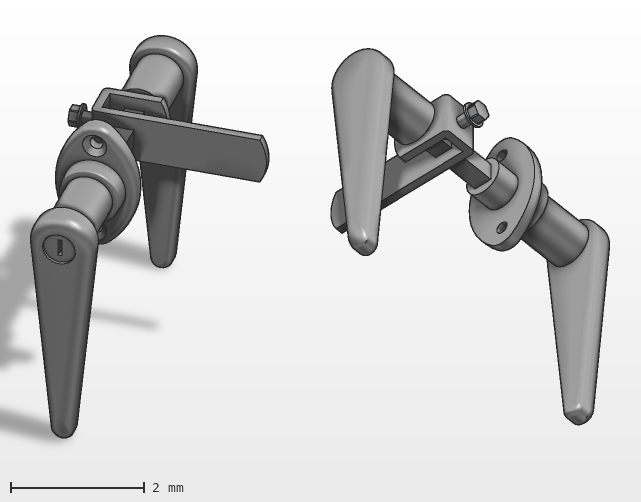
import cadquery as cq
import math

OVERALL_LENGTH = 5.42

LEVER_THICKNESS = 0.46
LEVER_HEAD_RADIUS = 1.0 / 2
LEVER_TIP_RADIUS = 0.34 / 2
LEVER_BOTTOM = -3.495
LEVER_OUTER_ROUND = 0.2
LEVER_INNER_ROUND = LEVER_OUTER_ROUND / 2
HANDLE_DEPTH = 1.46
SLEEVE_DIAMETER = 0.755

KEY_RECESS_DIAMETER = 0.51
KEY_RECESS_DEPTH = 0.05
KEYWAY_WIDTH = 0.065
KEYWAY_HEIGHT = 0.27
KEYWAY_DEPTH = 0.11

COLLAR_LENGTH = 0.3
COLLAR_FRONT_DIAMETER = 0.94
COLLAR_REAR_DIAMETER = 0.975
COLLAR_ROUND = 0.05
PLATE_THICKNESS = 0.245
PLATE_HALF_WIDTH = 0.65
PLATE_HALF_HEIGHT = 1.06
PLATE_ROUND = 0.125
SCREW_HOLE_OFFSET = 0.75
SCREW_HOLE_DIAMETER = 0.2
COUNTERSINK_DIAMETER = 0.38
COUNTERSINK_ANGLE = 90
BUSH_DIAMETER = 0.645
BUSH_LENGTH = 0.435

SPINDLE_SIDE = 0.315

CAM_FRONT = 3.19
CAM_DEPTH = 0.66
CAM_THICKNESS = 0.135
CAM_HEIGHT = SLEEVE_DIAMETER
CAM_BACK_X = -0.52
CAM_LONG_X = 2.24
CAM_SHORT_X = 0.515
CAM_END_RISE = 0.105
CAM_BEND_RADIUS = 0.085

SHANK_DIAMETER = 0.2
HEAD_END_X = -0.93
HEAD_HEIGHT = 0.15
HEAD_SIDES = 6
HEAD_ACROSS_FLATS = 0.29
HEAD_CORNER_DIAMETER = 0.325
WASHER_THICKNESS = 0.03
WASHER_DIAMETER = 0.405

COLLAR_REAR = HANDLE_DEPTH + COLLAR_LENGTH
PLATE_REAR = COLLAR_REAR + PLATE_THICKNESS
BUSH_REAR = PLATE_REAR + BUSH_LENGTH
INSIDE_SLEEVE_FRONT = OVERALL_LENGTH - HANDLE_DEPTH
SCREW_Y = CAM_FRONT + CAM_DEPTH / 2


def slab(outline, start, end):
    """Extrude an XZ outline along Y from start to end."""
    return outline.extrude(start - end).translate((0, start, 0))


def cylinder(diameter, start, end):
    return slab(cq.Workplane("XZ").circle(diameter / 2), start, end)


def cone(front_diameter, rear_diameter, start, end):
    return cq.Workplane(
        cq.Solid.makeCone(
            front_diameter / 2,
            rear_diameter / 2,
            end - start,
            pnt=cq.Vector(0, start, 0),
            dir=cq.Vector(0, 1, 0),
        )
    )


def make_lever():
    """Tapered lever with a round head and tip, its outer face at y = 0."""
    tip_z = LEVER_BOTTOM + LEVER_TIP_RADIUS
    taper = math.asin((LEVER_HEAD_RADIUS - LEVER_TIP_RADIUS) / -tip_z)
    head_x = LEVER_HEAD_RADIUS * math.cos(taper)
    head_z = -LEVER_HEAD_RADIUS * math.sin(taper)
    end_x = LEVER_TIP_RADIUS * math.cos(taper)
    end_z = tip_z - LEVER_TIP_RADIUS * math.sin(taper)
    outline = (
        cq.Workplane("XZ")
        .moveTo(-head_x, head_z)
        .threePointArc((0, LEVER_HEAD_RADIUS), (head_x, head_z))
        .lineTo(end_x, end_z)
        .threePointArc((0, LEVER_BOTTOM), (-end_x, end_z))
        .close()
    )
    lever = slab(outline, 0, LEVER_THICKNESS)
    lever = lever.faces(">Y").edges().fillet(LEVER_INNER_ROUND)
    return lever.faces("<Y").edges().fillet(LEVER_OUTER_ROUND)


def make_handle():
    """Lever and sleeve, reaching from y = 0 to the end of the sleeve."""
    return make_lever().union(cylinder(SLEEVE_DIAMETER, LEVER_THICKNESS, HANDLE_DEPTH))


def cut_key_recess(handle):
    keyway = cq.Workplane("XZ").rect(KEYWAY_WIDTH, KEYWAY_HEIGHT)
    return (
        handle.cut(cylinder(KEY_RECESS_DIAMETER, 0, KEY_RECESS_DEPTH))
        .cut(slab(keyway, KEY_RECESS_DEPTH, KEY_RECESS_DEPTH + KEYWAY_DEPTH))
    )


def make_plate():
    """Pointed oval plate: end arcs around the screw holes, tangent to the two large side arcs."""
    end_radius = PLATE_HALF_HEIGHT - SCREW_HOLE_OFFSET
    narrowing = PLATE_HALF_WIDTH - end_radius
    side_offset = (SCREW_HOLE_OFFSET**2 - narrowing**2) / (2 * narrowing)
    slope = math.atan2(SCREW_HOLE_OFFSET, side_offset)
    joint_x = end_radius * math.cos(slope)
    joint_z = SCREW_HOLE_OFFSET + end_radius * math.sin(slope)
    outline = (
        cq.Workplane("XZ")
        .moveTo(joint_x, -joint_z)
        .threePointArc((PLATE_HALF_WIDTH, 0), (joint_x, joint_z))
        .threePointArc((0, PLATE_HALF_HEIGHT), (-joint_x, joint_z))
        .threePointArc((-PLATE_HALF_WIDTH, 0), (-joint_x, -joint_z))
        .threePointArc((0, -PLATE_HALF_HEIGHT), (joint_x, -joint_z))
        .close()
    )
    plate = slab(outline, COLLAR_REAR, PLATE_REAR)
    return plate.faces("<Y").edges().fillet(PLATE_ROUND)


def make_countersunk_hole():
    flare = (COUNTERSINK_DIAMETER - SCREW_HOLE_DIAMETER) / 2
    sink_depth = flare / math.tan(math.radians(COUNTERSINK_ANGLE / 2))
    sink = cone(COUNTERSINK_DIAMETER, SCREW_HOLE_DIAMETER, COLLAR_REAR, COLLAR_REAR + sink_depth)
    return cylinder(SCREW_HOLE_DIAMETER, COLLAR_REAR, PLATE_REAR).union(sink)


def make_rose():
    """Collar, mounting plate with two countersunk holes, and bush."""
    rose = make_plate()
    for z in (-SCREW_HOLE_OFFSET, SCREW_HOLE_OFFSET):
        rose = rose.cut(make_countersunk_hole().translate((0, 0, z)))
    collar = cone(COLLAR_FRONT_DIAMETER, COLLAR_REAR_DIAMETER, HANDLE_DEPTH, COLLAR_REAR)
    collar = collar.faces("<Y").edges().fillet(COLLAR_ROUND)
    return rose.union(collar).union(cylinder(BUSH_DIAMETER, PLATE_REAR, BUSH_REAR))


def make_spindle():
    """Square spindle from the bush to the sleeve of the inside handle."""
    return slab(cq.Workplane("XZ").rect(SPINDLE_SIDE, SPINDLE_SIDE), BUSH_REAR, INSIDE_SLEEVE_FRONT)


def make_outside_handle():
    """Outside handle, rose and spindle in one piece."""
    return cut_key_recess(make_handle()).union(make_rose()).union(make_spindle())


def make_inside_handle():
    """Plain handle facing the other way."""
    return make_handle().mirror("XZ").translate((0, OVERALL_LENGTH, 0))


def make_cam_leg(end_x, start):
    """Flat leg with a bowed free end."""
    corner_x = end_x - CAM_END_RISE
    half_height = CAM_HEIGHT / 2
    outline = (
        cq.Workplane("XZ")
        .moveTo(CAM_BACK_X, -half_height)
        .lineTo(corner_x, -half_height)
        .threePointArc((end_x, 0), (corner_x, half_height))
        .lineTo(CAM_BACK_X, half_height)
        .close()
    )
    return slab(outline, start, start + CAM_THICKNESS)


def make_shank():
    """Screw shank from the washer face to the side of the spindle."""
    washer_end = HEAD_END_X + HEAD_HEIGHT + WASHER_THICKNESS
    return (
        cq.Workplane("YZ", origin=(washer_end, SCREW_Y, 0))
        .circle(SHANK_DIAMETER / 2)
        .extrude(-SPINDLE_SIDE / 2 - washer_end)
    )


def make_cam():
    """U-shaped cam with matching holes for the spindle and the screw."""
    web = (
        cq.Workplane("XY")
        .box(CAM_THICKNESS, CAM_DEPTH, CAM_HEIGHT)
        .translate((CAM_BACK_X + CAM_THICKNESS / 2, SCREW_Y, 0))
    )
    cam = (
        web.union(make_cam_leg(CAM_LONG_X, CAM_FRONT))
        .union(make_cam_leg(CAM_SHORT_X, CAM_FRONT + CAM_DEPTH - CAM_THICKNESS))
        .clean()
    )
    cam = cam.faces("<X").edges("|Z").fillet(CAM_BEND_RADIUS)
    return cam.cut(make_spindle()).cut(make_shank())


def make_screw():
    """Hexagon head with turned corners, washer flange and shank."""
    hexagon_diameter = HEAD_ACROSS_FLATS / math.cos(math.pi / HEAD_SIDES)
    head_plane = cq.Workplane("YZ", origin=(HEAD_END_X, SCREW_Y, 0))
    turned_blank = head_plane.circle(HEAD_CORNER_DIAMETER / 2).extrude(HEAD_HEIGHT)
    head = head_plane.polygon(HEAD_SIDES, hexagon_diameter).extrude(HEAD_HEIGHT).intersect(turned_blank)
    washer = (
        cq.Workplane("YZ", origin=(HEAD_END_X + HEAD_HEIGHT, SCREW_Y, 0))
        .circle(WASHER_DIAMETER / 2)
        .extrude(WASHER_THICKNESS)
    )
    return head.union(washer).union(make_shank())


outside_handle = make_outside_handle()
inside_handle = make_inside_handle()
cam = make_cam()
screw = make_screw()

bodies = (outside_handle, inside_handle, cam, screw)
result = cq.Compound.makeCompound([body.solids().val() for body in bodies])